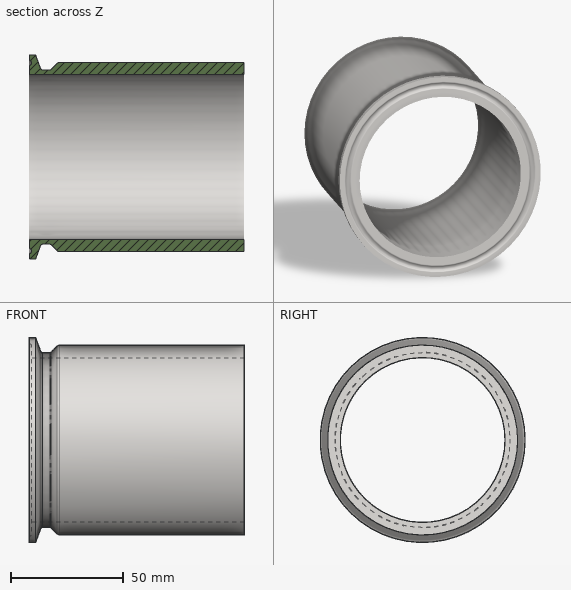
import cadquery as cq
import math

LENGTH = 95.25
BORE_DIAMETER = 72.9
NECK_DIAMETER = 77.4
BODY_DIAMETER = 84.1
FLANGE_DIAMETER = 90.9

RIM_CORNER_X = 2.9
CLAMP_TAPER_ANGLE = 20.0
NECK_END_X = 9.4
SHOULDER_ANGLE = 45.0
NECK_FRONT_FILLET = 0.8
NECK_BACK_FILLET = 0.8
BODY_FILLET = 1.5

GROOVE_CENTER_DIAMETER = 83.4
GROOVE_FLOOR_RADIUS = 1.1
GROOVE_DEPTH = 1.0
GROOVE_WALL_ANGLE = 52.0
GROOVE_LIP_FILLET = 0.7

bore_radius = BORE_DIAMETER / 2
neck_radius = NECK_DIAMETER / 2
body_radius = BODY_DIAMETER / 2
flange_radius = FLANGE_DIAMETER / 2

neck_start_x = RIM_CORNER_X + (flange_radius - neck_radius) * math.tan(math.radians(CLAMP_TAPER_ANGLE))
body_start_x = NECK_END_X + (body_radius - neck_radius) / math.tan(math.radians(SHOULDER_ANGLE))

groove_center_radius = GROOVE_CENTER_DIAMETER / 2
wall_angle = math.radians(GROOVE_WALL_ANGLE)
floor_half_width = GROOVE_FLOOR_RADIUS * math.sin(wall_angle)
wall_depth = GROOVE_DEPTH - GROOVE_FLOOR_RADIUS * (1 - math.cos(wall_angle))
mouth_half_width = floor_half_width + wall_depth / math.tan(wall_angle)
groove_inner_radius = groove_center_radius - mouth_half_width
groove_outer_radius = groove_center_radius + mouth_half_width
floor_inner_radius = groove_center_radius - floor_half_width
floor_outer_radius = groove_center_radius + floor_half_width


def round_circle_edge(solid, x, radius, fillet):
    """Fillet the full circular edge of the given radius at station x."""
    tolerance = 0.01

    def matches(circle):
        return abs(circle.Center().x - x) < tolerance and abs(circle.radius() - radius) < tolerance

    return solid.edges("%CIRCLE").filter(matches).fillet(fillet)


def make_sharp_ferrule():
    """Revolve the tube with its grooved clamp flange, neck and conical shoulder, all corners sharp."""
    return (
        cq.Workplane("XY")
        .moveTo(0, bore_radius)
        .lineTo(0, groove_inner_radius)
        .lineTo(wall_depth, floor_inner_radius)
        .threePointArc((GROOVE_DEPTH, groove_center_radius), (wall_depth, floor_outer_radius))
        .lineTo(0, groove_outer_radius)
        .lineTo(0, flange_radius)
        .lineTo(RIM_CORNER_X, flange_radius)
        .lineTo(neck_start_x, neck_radius)
        .lineTo(NECK_END_X, neck_radius)
        .lineTo(body_start_x, body_radius)
        .lineTo(LENGTH, body_radius)
        .lineTo(LENGTH, bore_radius)
        .close()
        .revolve(360, (0, 0, 0), (1, 0, 0))
    )


rounded_edges = [
    (0, groove_inner_radius, GROOVE_LIP_FILLET),
    (0, groove_outer_radius, GROOVE_LIP_FILLET),
    (neck_start_x, neck_radius, NECK_FRONT_FILLET),
    (NECK_END_X, neck_radius, NECK_BACK_FILLET),
    (body_start_x, body_radius, BODY_FILLET),
]

result = make_sharp_ferrule()
for station, edge_radius, fillet_radius in rounded_edges:
    result = round_circle_edge(result, station, edge_radius, fillet_radius)